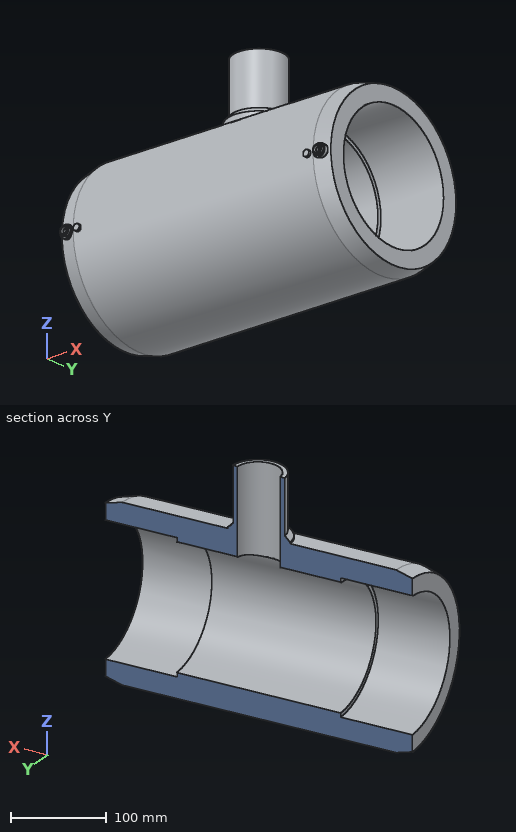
import cadquery as cq

sleeve_length = 370.5
sleeve_diameter = 211.5
end_taper_length = 20.0
end_taper_depth = 5.5
socket_diameter = 160.0
bore_diameter = 150.5
socket_depth = 86.5

overall_height = 285.5
branch_diameter = 63.0
branch_bore_diameter = 51.5
collar_diameter = 75.5
collar_shoulder_height = 107.0

terminal_inset = 11.0
terminal_flange_diameter = 16.0
terminal_flange_reach = 106.5
terminal_rim_diameter = 12.0
overall_depth = 216.5
terminal_rim_chamfer = 1.0
terminal_well_diameter = 8.0
terminal_well_depth = 4.5
contact_diameter = 5.0
contact_recess = 2.2
indicator_inset = 27.0
indicator_diameter = 8.0
indicator_reach = 108.5

sleeve_radius = sleeve_diameter / 2
half_length = sleeve_length / 2
branch_top = overall_height - sleeve_radius
terminal_reach = overall_depth - sleeve_radius
root_radius = (sleeve_radius + socket_diameter / 2) / 2


def rod_along_x(diameter, length):
    return cq.Workplane("YZ").circle(diameter / 2).extrude(length / 2, both=True)


def rod_toward_front(x, diameter, start, reach):
    """Round rod pointing along -Y between two distances from the sleeve axis."""
    plane = cq.Workplane("XZ", origin=(x, -start, 0))
    return plane.circle(diameter / 2).extrude(reach - start)


def make_sleeve():
    """Solid sleeve with a conical taper at both ends."""
    outline = [
        (-half_length, 0),
        (-half_length, sleeve_radius - end_taper_depth),
        (-half_length + end_taper_length, sleeve_radius),
        (half_length - end_taper_length, sleeve_radius),
        (half_length, sleeve_radius - end_taper_depth),
        (half_length, 0),
    ]
    return cq.Workplane("XY").polyline(outline).close().revolve(360, (0, 0, 0), (1, 0, 0))


def make_branch():
    """Solid branch pipe with a collar that slopes in to the pipe at 45 degrees."""
    pipe_radius = branch_diameter / 2
    collar_radius = collar_diameter / 2
    slope_top = collar_shoulder_height + collar_radius - pipe_radius
    outline = [
        (0, root_radius),
        (collar_radius, root_radius),
        (collar_radius, collar_shoulder_height),
        (pipe_radius, slope_top),
        (pipe_radius, branch_top),
        (0, branch_top),
    ]
    return cq.Workplane("XZ").polyline(outline).close().revolve(360, (0, 0, 0), (0, 1, 0))


def make_bore():
    """Through bore with a wider socket at each end."""
    middle = rod_along_x(bore_diameter, sleeve_length - 2 * socket_depth)
    left_end = cq.Workplane("YZ", origin=(-half_length, 0, 0))
    left_socket = left_end.circle(socket_diameter / 2).extrude(socket_depth)
    right_socket = left_socket.mirror("YZ")
    return middle.union(left_socket).union(right_socket)


def make_terminal(x):
    """Flanged terminal with a contact pin standing in a round well."""
    well_floor = terminal_reach - terminal_well_depth
    flange = rod_toward_front(x, terminal_flange_diameter, root_radius, terminal_flange_reach)
    rim = rod_toward_front(x, terminal_rim_diameter, root_radius, terminal_reach)
    rim = rim.faces("<Y").chamfer(terminal_rim_chamfer)
    well = rod_toward_front(x, terminal_well_diameter, well_floor, terminal_reach)
    contact = rod_toward_front(x, contact_diameter, root_radius, terminal_reach - contact_recess)
    return flange.union(rim).cut(well).union(contact)


result = make_sleeve().union(make_branch())
result = result.cut(make_bore())
branch_bore = cq.Workplane("XY").circle(branch_bore_diameter / 2).extrude(branch_top)
result = result.cut(branch_bore)

for side in (-1, 1):
    terminal_x = side * (half_length - terminal_inset)
    indicator_x = side * (half_length - indicator_inset)
    result = result.union(make_terminal(terminal_x))
    result = result.union(rod_toward_front(indicator_x, indicator_diameter, root_radius, indicator_reach))